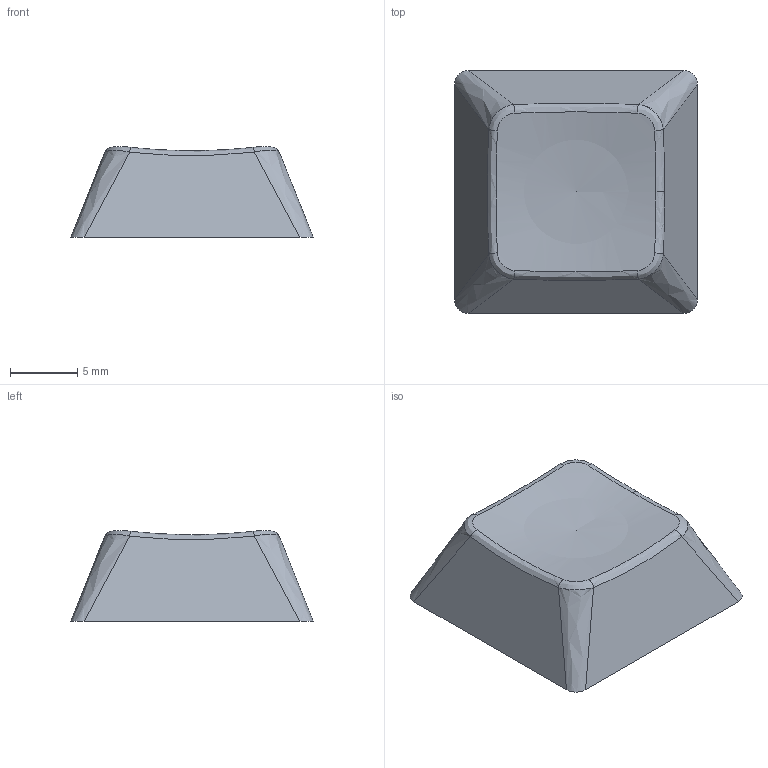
import cadquery as cq

base_width = 18.0
base_corner_radius = 1.0
blank_height = 7.5
blank_top_width = 12.0
blank_top_corner_radius = 2.0

dish_radius = 40.0
dish_floor_height = 6.0

rim_fillet_radius = 0.6


def rounded_square(width, corner_radius):
    """Flat profile of a square with rounded corners."""
    return cq.Sketch().rect(width, width).vertices().fillet(corner_radius)


def make_blank():
    """Solid tapered body, taller than the finished key."""
    return (
        cq.Workplane("XY")
        .placeSketch(
            rounded_square(base_width, base_corner_radius),
            rounded_square(blank_top_width, blank_top_corner_radius).moved(
                cq.Location(cq.Vector(0, 0, blank_height))
            ),
        )
        .loft(ruled=True)
    )


def make_dish_cutter():
    """Sphere whose lowest point touches the floor of the dish."""
    centre_height = dish_floor_height + dish_radius
    return cq.Workplane("XY").sphere(dish_radius).translate((0, 0, centre_height))


def round_rim(body):
    """Round every edge around the mouth of the dish."""
    return body.faces(cq.selectors.TypeSelector("SPHERE")).edges().fillet(rim_fillet_radius)


dished_body = make_blank().cut(make_dish_cutter())
result = round_rim(dished_body)